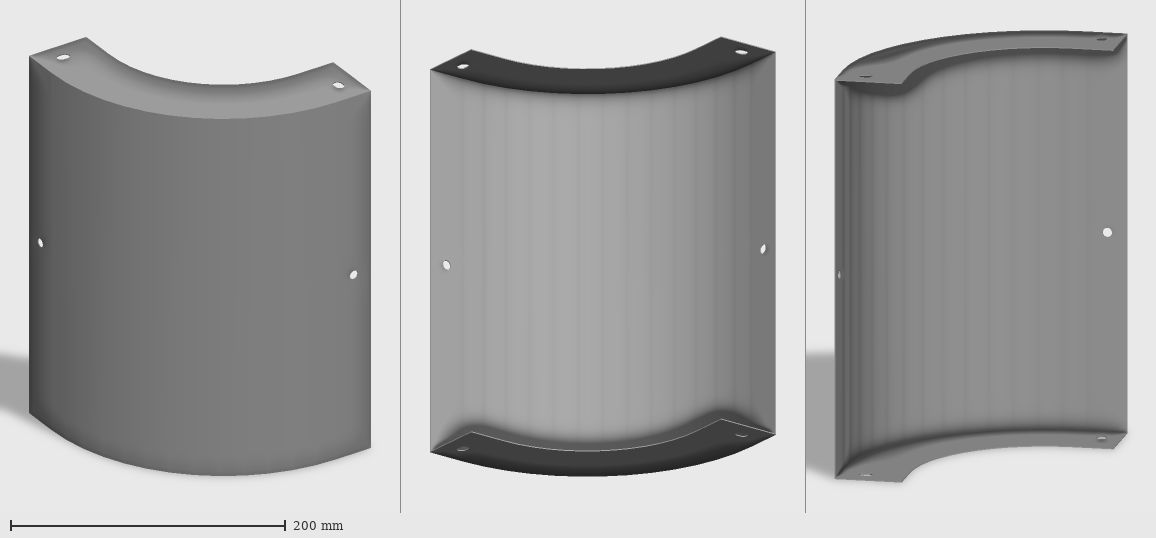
import cadquery as cq

height = 300.0
span = 180.0
straight = 30.0
sheet = 0.75
flange_width = 50.0

hole_diameter = 7.0
slot_length = 10.0
hole_end_distance = 15.0
slot_wall_distance = 20.0


def curved_band(outer_inset, inner_inset, depth):
    """Extrude an L-shaped quarter-round band lying between two insets from the outer face."""
    outer = span - outer_inset
    inner = span - inner_inset
    outer_radius = outer - straight
    inner_radius = inner - straight
    bend_center = (straight, span - straight)
    diagonal = 0.5 ** 0.5

    def bend_middle(radius):
        return (bend_center[0] + radius * diagonal, bend_center[1] - radius * diagonal)

    return (
        cq.Workplane("XY")
        .moveTo(0, outer_inset)
        .lineTo(straight, outer_inset)
        .threePointArc(bend_middle(outer_radius), (outer, span - straight))
        .lineTo(outer, span)
        .lineTo(inner, span)
        .lineTo(inner, span - straight)
        .threePointArc(bend_middle(inner_radius), (straight, inner_inset))
        .lineTo(0, inner_inset)
        .close()
        .extrude(depth)
    )


wall = curved_band(0, sheet, height)
flange = curved_band(0, flange_width, sheet)
result = wall.union(flange).union(flange.translate((0, 0, height - sheet)))

slot_places = (
    (hole_end_distance, slot_wall_distance, 90),
    (span - slot_wall_distance, span - hole_end_distance, 0),
)
for x, y, angle in slot_places:
    slot = (
        cq.Workplane("XY")
        .center(x, y)
        .slot2D(slot_length, hole_diameter, angle)
        .extrude(height)
    )
    result = result.cut(slot)

hole_radius = hole_diameter / 2
hole_depth = 2 * sheet
front_hole = cq.Solid.makeCylinder(
    hole_radius, hole_depth, cq.Vector(hole_end_distance, 0, height / 2), cq.Vector(0, 1, 0)
)
side_hole = cq.Solid.makeCylinder(
    hole_radius, hole_depth, cq.Vector(span, span - hole_end_distance, height / 2), cq.Vector(-1, 0, 0)
)
result = result.cut(cq.Workplane(front_hole)).cut(cq.Workplane(side_hole))